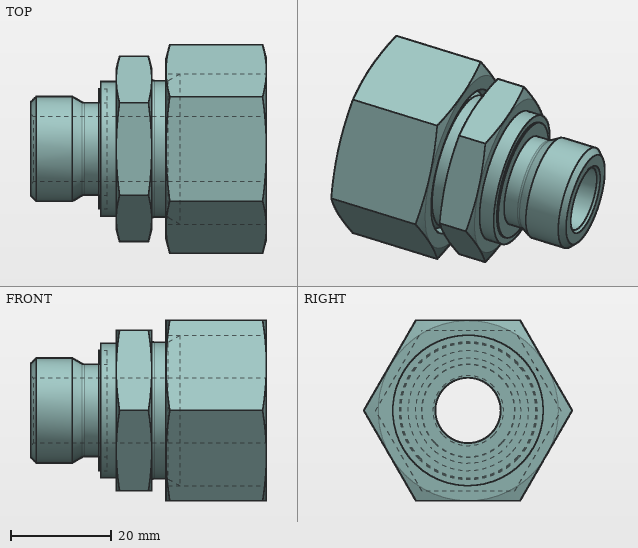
import cadquery as cq
import math

stud_runout_start = 8.25
seal_face = 13.65
flange_face = 13.95
hex_start = 17.05
hex_end = 24.15
nut_start = 27.0
nut_runout_start = 27.35
total_length = 47.0

bore_radius = 6.5
stud_radius = 10.5
neck_radius = 9.2
seal_radius = 12.0
flange_radius = 13.45
relief_radius = 13.65
nut_thread_radius = 15.0

stud_chamfer = 1.18
bore_chamfer = 0.5

runout_angle = math.radians(30)
blend_radius = 1.0
blend_length = blend_radius * math.sin(runout_angle)
blend_rise = blend_radius * (1 - math.cos(runout_angle))

seal_thickness = 1.5

body_across_flats = 32.0
nut_across_flats = 36.0
hex_chamfer_angle = math.radians(15)
hex_chamfer_inset = 0.05


def revolve_about_x(profile):
    """Close an outline drawn above the X axis and turn it into a solid."""
    return profile.close().revolve(360, (0, 0, 0), (1, 0, 0))


def blend_down(profile, end_x, end_radius):
    """Add the arc that leaves the run-out angle and ends tangent to a cylinder."""
    half_angle = runout_angle / 2
    middle_x = end_x - blend_radius * math.sin(half_angle)
    middle_radius = end_radius + blend_radius * (1 - math.cos(half_angle))
    return profile.threePointArc((middle_x, middle_radius), (end_x, end_radius))


def chamfered_hexagon(across_flats, start, end):
    """Hexagonal prism along X whose corners are turned down to a shallow cone at both ends."""
    corner_radius = across_flats / math.sqrt(3)
    face_radius = across_flats / 2 - hex_chamfer_inset
    chamfer_length = (corner_radius - face_radius) * math.tan(hex_chamfer_angle)
    prism = (
        cq.Workplane("YZ", origin=(start, 0, 0))
        .polygon(6, 2 * corner_radius)
        .extrude(end - start)
    )
    turned_blank = revolve_about_x(
        cq.Workplane("XY")
        .moveTo(start, 0)
        .lineTo(start, face_radius)
        .lineTo(start + chamfer_length, corner_radius)
        .lineTo(end - chamfer_length, corner_radius)
        .lineTo(end, face_radius)
        .lineTo(end, 0)
    )
    return prism.intersect(turned_blank)


def make_stud():
    """Threaded stud with run-out cone, neck, and a flange recessed for the seal."""
    blend_top = neck_radius + blend_rise
    blend_start = stud_runout_start + (stud_radius - blend_top) / math.tan(runout_angle)
    recess_floor = seal_face + seal_thickness
    profile = (
        cq.Workplane("XY")
        .lineTo(0, stud_radius - stud_chamfer)
        .lineTo(stud_chamfer, stud_radius)
        .lineTo(stud_runout_start, stud_radius)
        .lineTo(blend_start, blend_top)
    )
    profile = (
        blend_down(profile, blend_start + blend_length, neck_radius)
        .lineTo(recess_floor, neck_radius)
        .lineTo(recess_floor, seal_radius)
        .lineTo(flange_face, seal_radius)
        .lineTo(flange_face, flange_radius)
        .lineTo(hex_start, flange_radius)
        .lineTo(hex_start, 0)
    )
    return revolve_about_x(profile)


def make_nut_shank():
    """Thread relief behind the hexagon, widening to the thread that carries the nut."""
    thread_start = nut_runout_start + (nut_thread_radius - relief_radius) / math.tan(runout_angle)
    profile = (
        cq.Workplane("XY")
        .moveTo(hex_end, 0)
        .lineTo(hex_end, relief_radius + blend_rise)
    )
    profile = (
        blend_down(profile, hex_end + blend_length, relief_radius)
        .lineTo(nut_runout_start, relief_radius)
        .lineTo(thread_start, nut_thread_radius)
        .lineTo(total_length, nut_thread_radius)
        .lineTo(total_length, 0)
    )
    return revolve_about_x(profile)


def make_bore():
    """Through bore, chamfered at the stud end."""
    return revolve_about_x(
        cq.Workplane("XY")
        .lineTo(0, bore_radius + bore_chamfer)
        .lineTo(bore_chamfer, bore_radius)
        .lineTo(total_length, bore_radius)
        .lineTo(total_length, 0)
    )


def make_housing():
    """Fitting body: stud, hexagon and nut shank in one piece, bored through."""
    hexagon = chamfered_hexagon(body_across_flats, hex_start, hex_end)
    return make_stud().union(hexagon).union(make_nut_shank()).cut(make_bore())


def make_nut():
    """Union nut with a plain bore that fits the shank thread."""
    blank = chamfered_hexagon(nut_across_flats, nut_start, total_length)
    thread_bore = (
        cq.Workplane("YZ", origin=(nut_start, 0, 0))
        .circle(nut_thread_radius)
        .extrude(total_length - nut_start)
    )
    return blank.cut(thread_bore)


def make_seal():
    """Flat ring around the neck, seated in the flange recess."""
    return (
        cq.Workplane("YZ", origin=(seal_face, 0, 0))
        .circle(seal_radius)
        .circle(neck_radius)
        .extrude(seal_thickness)
    )


housing = make_housing()
nut = make_nut()
seal = make_seal()

result = cq.Compound.makeCompound([housing.solids().val(), nut.solids().val(), seal.val()])